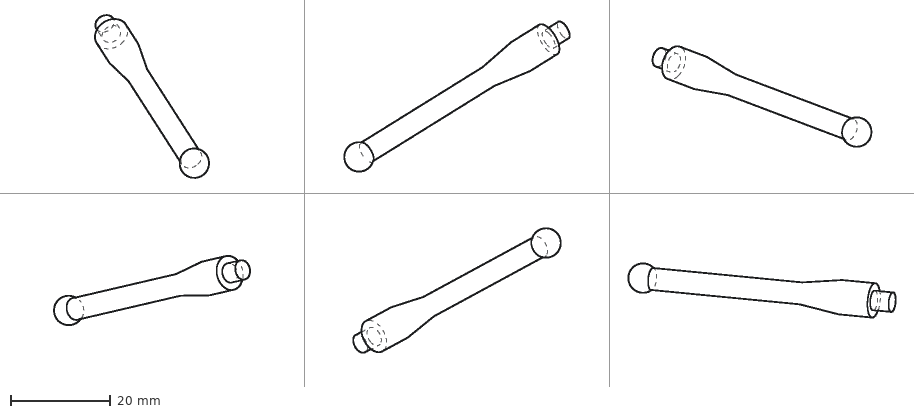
import cadquery as cq
import math

total_length = 57.0

stub_diameter = 4.0
body_diameter = 7.0
shaft_diameter = 4.5
ball_diameter = 6.0

stub_length = 4.0
body_length = 7.25
taper_length = 8.55

stub_radius = stub_diameter / 2
body_radius = body_diameter / 2
shaft_radius = shaft_diameter / 2
ball_radius = ball_diameter / 2

body_start = stub_length
taper_start = body_start + body_length
shaft_start = taper_start + taper_length
ball_center = total_length - ball_radius

shaft_end = ball_center - math.sqrt(ball_radius**2 - shaft_radius**2)

profile = (
    cq.Workplane("XY")
    .moveTo(0, 0)
    .lineTo(0, stub_radius)
    .lineTo(body_start, stub_radius)
    .lineTo(body_start, body_radius)
    .lineTo(taper_start, body_radius)
    .lineTo(shaft_start, shaft_radius)
    .lineTo(shaft_end, shaft_radius)
    .threePointArc((ball_center, ball_radius), (total_length, 0))
    .close()
)

result = profile.revolve(360, (0, 0, 0), (1, 0, 0))